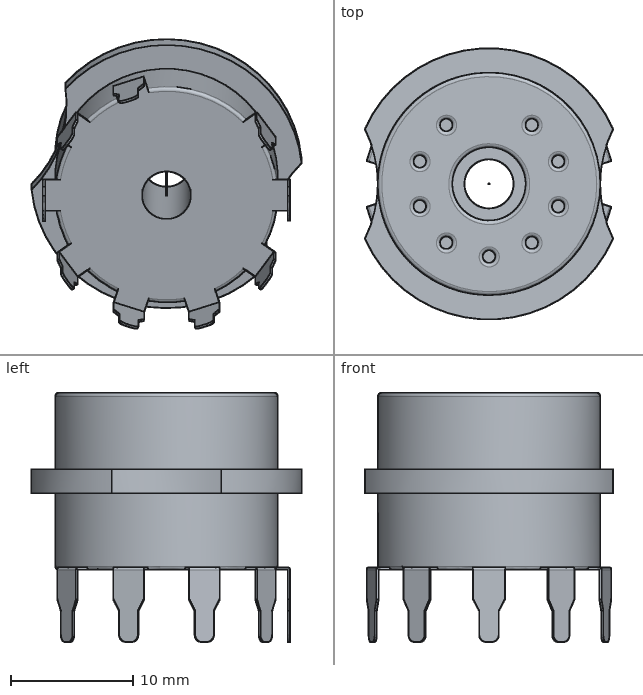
import cadquery as cq
import math


OVERALL_HEIGHT = 20.4

BODY_DIAMETER = 18.2
BODY_RADIUS = BODY_DIAMETER / 2
BODY_HEIGHT = 14.5
EDGE_RADIUS = 0.3

FLANGE_DIAMETER = 22.2
FLANGE_RADIUS = FLANGE_DIAMETER / 2
FLANGE_THICKNESS = 2.0
FLANGE_WIDTH = 20.31

RECESS_DIAMETER = 6.0
BORE_DIAMETER = 4.0
RECESS_DEPTH = 3.66
SOCKET_DIAMETER = 1.02
SOCKET_DEPTH = RECESS_DEPTH
SOCKET_CIRCLE_RADIUS = 5.95

PLACE_COUNT = 10
PLACE_ANGLE = 360 / PLACE_COUNT
CONTACT_ANGLES = [90 + PLACE_ANGLE * place for place in range(1, PLACE_COUNT)]

SHEET_THICKNESS = 0.2
CONTACT_REACH = 10.1
SHOULDER_WIDTH = 2.62
TIP_WIDTH = 1.62
SHOULDER_Z = -2.4
NECK_Z = -3.35
TIP_Z = BODY_HEIGHT - OVERALL_HEIGHT
TIP_RADIUS = 0.6
BEND_RADIUS = 0.18

WIRE_DIAMETER = 0.1
WIRE_LENGTH = BODY_HEIGHT - RECESS_DEPTH


def make_body():
    """Round body with both outer rims rounded."""
    body = cq.Workplane("XY").circle(BODY_RADIUS).extrude(BODY_HEIGHT)
    return body.faces("<Z or >Z").edges().fillet(EDGE_RADIUS)


def make_flange():
    """Round flange with a scallop on each X side that comes in as far as the body."""
    corner_x = FLANGE_WIDTH / 2
    corner_y = math.sqrt(FLANGE_RADIUS**2 - corner_x**2)
    return (
        cq.Workplane("XY")
        .workplane(offset=(BODY_HEIGHT - FLANGE_THICKNESS) / 2)
        .moveTo(corner_x, corner_y)
        .threePointArc((0, FLANGE_RADIUS), (-corner_x, corner_y))
        .threePointArc((-BODY_RADIUS, 0), (-corner_x, -corner_y))
        .threePointArc((0, -FLANGE_RADIUS), (corner_x, -corner_y))
        .threePointArc((BODY_RADIUS, 0), (corner_x, corner_y))
        .close()
        .extrude(FLANGE_THICKNESS)
    )


def make_rounded_hole(diameter, depth):
    """Cutter for a blind hole on the axis, from the top down, with a rounded mouth."""
    radius = diameter / 2
    floor_z = BODY_HEIGHT - depth
    arc_offset = EDGE_RADIUS * (1 - math.sqrt(0.5))
    return (
        cq.Workplane("XZ")
        .moveTo(0, floor_z)
        .lineTo(radius, floor_z)
        .lineTo(radius, BODY_HEIGHT - EDGE_RADIUS)
        .threePointArc(
            (radius + arc_offset, BODY_HEIGHT - arc_offset),
            (radius + EDGE_RADIUS, BODY_HEIGHT),
        )
        .lineTo(0, BODY_HEIGHT)
        .close()
        .revolve(360, (0, 0, 0), (0, 1, 0))
    )


def make_contact():
    """Contact pointing along +X: strap in the housing underside, bent down into the tail."""
    strap_length = CONTACT_REACH - SOCKET_CIRCLE_RADIUS
    strap = cq.Workplane("XY").box(
        strap_length, SHOULDER_WIDTH, SHEET_THICKNESS, centered=(False, True, False)
    ).translate((SOCKET_CIRCLE_RADIUS, 0, 0))

    half_shoulder = SHOULDER_WIDTH / 2
    half_tip = TIP_WIDTH / 2
    tail = (
        cq.Workplane("YZ")
        .workplane(offset=CONTACT_REACH - SHEET_THICKNESS)
        .polyline([
            (-half_shoulder, SHEET_THICKNESS),
            (-half_shoulder, SHOULDER_Z),
            (-half_tip, NECK_Z),
            (-half_tip, TIP_Z),
            (half_tip, TIP_Z),
            (half_tip, NECK_Z),
            (half_shoulder, SHOULDER_Z),
            (half_shoulder, SHEET_THICKNESS),
        ])
        .close()
        .extrude(SHEET_THICKNESS)
        .faces("<Z").edges("|X").fillet(TIP_RADIUS)
    )
    contact = strap.union(tail)
    return contact.faces(">X").edges(">Z").fillet(BEND_RADIUS)


def make_socket():
    """Housing with its flange, holes and the nine contacts moulded in."""
    socket = make_body().union(make_flange())

    bore = cq.Workplane("XY").circle(BORE_DIAMETER / 2).extrude(BODY_HEIGHT)
    socket = socket.cut(make_rounded_hole(RECESS_DIAMETER, RECESS_DEPTH)).cut(bore)

    pin_hole = make_rounded_hole(SOCKET_DIAMETER, SOCKET_DEPTH).translate((SOCKET_CIRCLE_RADIUS, 0, 0))
    contact = make_contact()
    axis = ((0, 0, 0), (0, 0, 1))
    for angle in CONTACT_ANGLES:
        socket = socket.cut(pin_hole.rotate(*axis, angle))
        socket = socket.union(contact.rotate(*axis, angle))
    return socket


def make_wire():
    """Fine wire on the axis, as long as the narrow part of the bore."""
    return cq.Workplane("XY").circle(WIRE_DIAMETER / 2).extrude(WIRE_LENGTH)


socket = make_socket()
wire = make_wire()
result = cq.Compound.makeCompound([socket.val(), wire.val()])